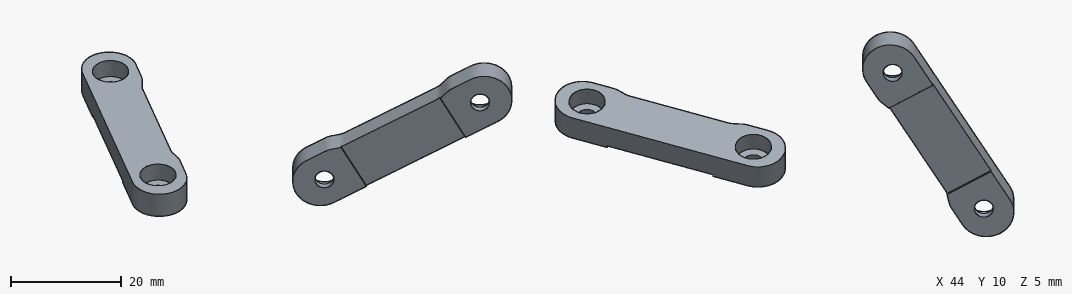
import cadquery as cq
import math

length = 44.0
width = 10.0
thickness = 5.0

hole_spacing = 32.3
hole_diameter = 3.45
counterbore_diameter = 6.5
counterbore_depth = 3.6

edge_relief_depth = 0.8
relief_floor_half_length = 9.5
blend_radius = 3.5
blend_slope = 18.0

channel_length = 20.55
channel_depth = 0.4


def make_bar():
    return cq.Workplane("XY").slot2D(length, width).extrude(thickness)


def make_edge_relief():
    """Cutter whose ends rise to the edge through arc, straight ramp and arc."""
    angle = math.radians(blend_slope)
    arc_run = blend_radius * math.sin(angle)
    arc_rise = blend_radius * (1 - math.cos(angle))
    half_arc_run = blend_radius * math.sin(angle / 2)
    half_arc_rise = blend_radius * (1 - math.cos(angle / 2))
    ramp_run = (edge_relief_depth - 2 * arc_rise) / math.tan(angle)

    edge_y = width / 2
    floor_y = edge_y - edge_relief_depth
    floor_x = relief_floor_half_length
    edge_x = floor_x + 2 * arc_run + ramp_run

    ramp_low = (floor_x + arc_run, floor_y + arc_rise)
    ramp_high = (edge_x - arc_run, edge_y - arc_rise)
    low_arc_middle = (floor_x + half_arc_run, floor_y + half_arc_rise)
    high_arc_middle = (edge_x - half_arc_run, edge_y - half_arc_rise)

    def mirrored(point):
        return (-point[0], point[1])

    return (
        cq.Workplane("XY")
        .moveTo(-floor_x, floor_y)
        .lineTo(floor_x, floor_y)
        .threePointArc(low_arc_middle, ramp_low)
        .lineTo(*ramp_high)
        .threePointArc(high_arc_middle, (edge_x, edge_y))
        .lineTo(-edge_x, edge_y)
        .threePointArc(mirrored(high_arc_middle), mirrored(ramp_high))
        .lineTo(*mirrored(ramp_low))
        .threePointArc(mirrored(low_arc_middle), (-floor_x, floor_y))
        .close()
        .extrude(thickness)
    )


def make_underside_channel():
    return cq.Workplane("XY").box(
        channel_length, width, channel_depth, centered=(True, True, False)
    )


def drill_screw_holes(body):
    return (
        body.faces(">Z")
        .workplane(origin=(0, 0, thickness))
        .pushPoints([(-hole_spacing / 2, 0), (hole_spacing / 2, 0)])
        .cboreHole(hole_diameter, counterbore_diameter, counterbore_depth)
    )


bar = make_bar().cut(make_edge_relief()).cut(make_underside_channel())
result = drill_screw_holes(bar)